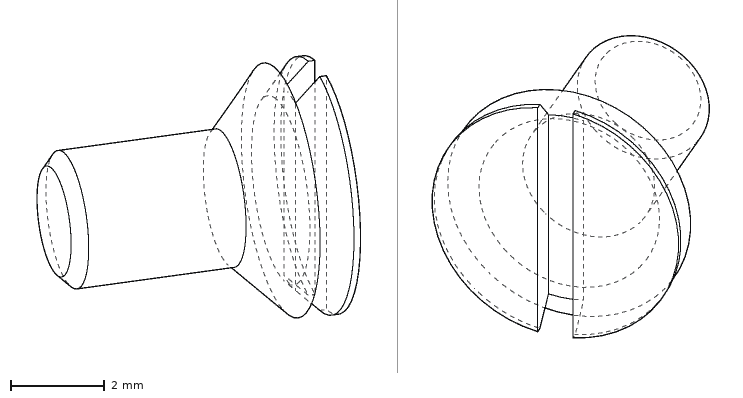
import cadquery as cq

total_length = 6.0
head_radius = 2.8
rim_height = 0.15
upper_cone_height = 0.75
shank_radius = 1.5
lower_cone_height = 1.26
tip_chamfer = 0.3
slot_width = 0.8
slot_depth = 0.7

neck_radius = head_radius - upper_cone_height
lower_cone_radius = shank_radius + lower_cone_height

rim_bottom = total_length - rim_height
step_position = rim_bottom - upper_cone_height
shank_end = step_position - lower_cone_height


def make_body():
    """Revolve the half profile of shank and double-cone head about the Y axis."""
    return (
        cq.Workplane("XY")
        .moveTo(0, 0)
        .lineTo(shank_radius - tip_chamfer, 0)
        .lineTo(shank_radius, tip_chamfer)
        .lineTo(shank_radius, shank_end)
        .lineTo(lower_cone_radius, step_position)
        .lineTo(neck_radius, step_position)
        .lineTo(head_radius, rim_bottom)
        .lineTo(head_radius, total_length)
        .lineTo(0, total_length)
        .close()
        .revolve(360, (0, 0, 0), (0, 1, 0))
    )


def make_slot():
    """Driver slot running along Z across the full head face."""
    return (
        cq.Workplane("XY")
        .box(slot_width, slot_depth, 2 * head_radius)
        .translate((0, total_length - slot_depth / 2, 0))
    )


result = make_body().cut(make_slot())